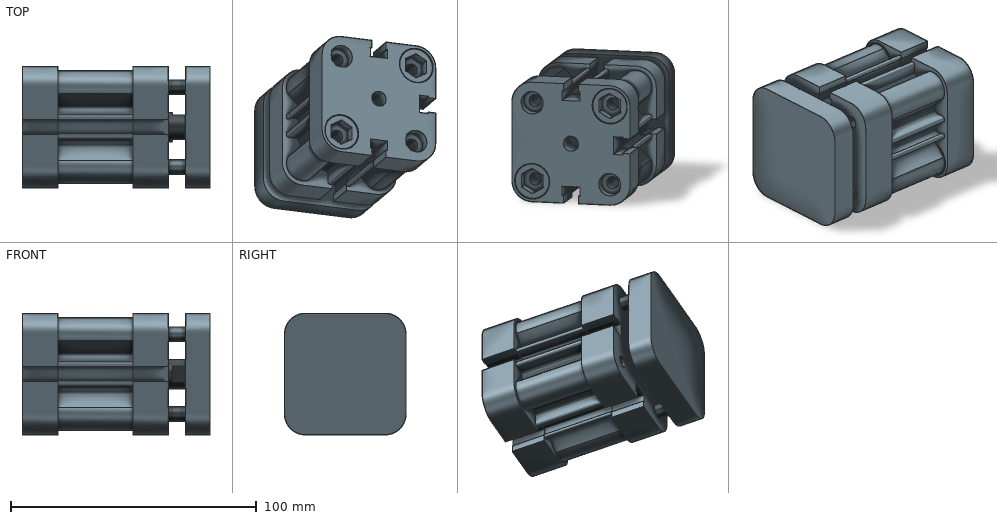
import cadquery as cq
import math


cap_length = 14.5
barrel_length = 30.5
plate_gap = 7.0
plate_thickness = 10.0
front_cap_x = cap_length + barrel_length
housing_length = front_cap_x + cap_length
plate_x = housing_length + plate_gap

square_side = 49.5
square_corner_radius = 8.5
half_side = square_side / 2
corner_offset = 16.25

barrel_half_height = 23.0
barrel_wall_radius = 18.6
corner_tube_radius = barrel_half_height - corner_offset
corner_web_width = 12.5
rail_width = 10.0
rail_edge_radius = 1.0
rail_root_radius = 1.2
web_root_radius = 1.0
lip_edge_radius = 0.5

lip_depth = 3.1
cap_slot_mouth = 6.2
cap_slot_width = 7.4
cap_slot_floor = 17.75
barrel_slot_mouth = 5.7
barrel_slot_width = 6.9
barrel_slot_floor = 18.0
barrel_slot_floor_radius = 0.5
slotted_cap_sides = (0, 90, 180)

screw_corners = [(1, 1), (-1, -1)]
guide_corners = [(-1, 1), (1, -1)]
screw_hole_diameter = 5.0
counterbore_diameter = 9.2
counterbore_depth = 5.0
center_hole_diameter = 6.2
center_hole_depth = 10.0

plug_bore_diameter = 14.7
plug_diameter = 14.2
plug_recess = 0.25
plug_bore_depth = cap_length
plug_length = plug_bore_depth - plug_recess
hex_across_flats = 9.0
hex_depth = 5.3

guide_rod_diameter = 6.0
rod_diameter = 12.0
rod_across_flats = 10.0
rod_collar_length = 1.6
rod_end_chamfer = 0.3
flat_edge_chamfer = 0.25


def section_at(x):
    """Workplane across the axis at X = x, with local axes Y and Z."""
    return cq.Workplane("YZ", origin=(x, 0, 0))


def corner_points(corners):
    return [(corner_offset * side_y, corner_offset * side_z) for side_y, side_z in corners]


def rounded_square(x, length):
    block = section_at(x).rect(square_side, square_side).extrude(length)
    return block.edges("|X").fillet(square_corner_radius)


def turned(body, angle):
    return body.rotate((0, 0, 0), (1, 0, 0), angle)


def t_slot(x, length, mouth, width, floor):
    """Cutter for a T-slot that opens toward +Z."""
    lip_z = half_side - lip_depth
    right_half = [(width / 2, floor), (width / 2, lip_z), (mouth / 2, lip_z), (mouth / 2, half_side)]
    left_half = [(-y, z) for y, z in reversed(right_half)]
    return section_at(x).polyline(right_half + left_half).close().extrude(length)


def make_cap(x):
    cap = rounded_square(x, cap_length)
    slot = t_slot(x, cap_length, cap_slot_mouth, cap_slot_width, cap_slot_floor)
    for angle in slotted_cap_sides:
        cap = cap.cut(turned(slot, angle))
    return cap


def corner_tube():
    """Round corner of the barrel, flattened on both sides to the width of the web that carries it."""
    diagonal = corner_offset * math.sqrt(2)
    web_length = diagonal + math.sqrt(corner_tube_radius**2 - (corner_web_width / 2) ** 2)
    web = section_at(cap_length).center(0, web_length / 2).rect(corner_web_width, web_length)
    tube = section_at(cap_length).center(0, diagonal).circle(corner_tube_radius).extrude(barrel_length)
    flats = section_at(cap_length).center(0, diagonal).rect(corner_web_width, 2 * corner_tube_radius)
    tube = tube.intersect(flats.extrude(barrel_length))
    return turned(tube.union(web.extrude(barrel_length)), 45)


def rail():
    """Raised bar on the barrel side that carries the T-slot."""
    bar = section_at(cap_length).center(0, barrel_half_height / 2).rect(rail_width, barrel_half_height)
    return bar.extrude(barrel_length).edges("|X and >Z").fillet(rail_edge_radius)


def lengthwise_edges_at(body, y, z):
    """Edges along X that pass through (y, z) or its image under mirroring or quarter turns."""
    places = sorted([y, z])
    return body.edges("|X").filter(
        lambda edge: math.dist(sorted([abs(edge.Center().y), abs(edge.Center().z)]), places) < 0.01
    )


def make_barrel():
    barrel = section_at(cap_length).circle(barrel_wall_radius).extrude(barrel_length)
    for angle in range(0, 360, 90):
        barrel = barrel.union(turned(corner_tube(), angle)).union(turned(rail(), angle))
    rail_side = rail_width / 2
    rail_root = math.sqrt(barrel_wall_radius**2 - rail_side**2)
    barrel = lengthwise_edges_at(barrel, rail_side, rail_root).fillet(rail_root_radius)
    web_root_angle = math.radians(45) - math.asin(corner_web_width / 2 / barrel_wall_radius)
    web_root = [barrel_wall_radius * math.sin(web_root_angle), barrel_wall_radius * math.cos(web_root_angle)]
    barrel = lengthwise_edges_at(barrel, *web_root).fillet(web_root_radius)
    slot = t_slot(cap_length, barrel_length, barrel_slot_mouth, barrel_slot_width, barrel_slot_floor)
    slot = slot.edges("|X and <Z").fillet(barrel_slot_floor_radius)
    for angle in range(0, 360, 90):
        barrel = barrel.cut(turned(slot, angle))
    return lengthwise_edges_at(barrel, barrel_slot_mouth / 2, barrel_half_height).fillet(lip_edge_radius)


def make_housing():
    body = make_barrel().union(make_cap(0)).union(make_cap(front_cap_x))
    screws = section_at(0).pushPoints(corner_points(screw_corners))
    body = body.cut(screws.circle(screw_hole_diameter / 2).extrude(housing_length))
    body = body.cut(screws.circle(counterbore_diameter / 2).extrude(counterbore_depth))
    body = body.cut(section_at(0).circle(center_hole_diameter / 2).extrude(center_hole_depth))
    guides = section_at(0).pushPoints(corner_points(guide_corners))
    body = body.cut(guides.circle(plug_bore_diameter / 2).extrude(plug_bore_depth))
    body = body.cut(guides.circle(guide_rod_diameter / 2).extrude(housing_length))
    return body.cut(section_at(front_cap_x).circle(rod_diameter / 2).extrude(cap_length))


def make_guide_plug(center):
    """Hollow plug with a hexagon socket whose corners point along Z."""
    face = section_at(plug_recess).center(*center)
    plug = face.circle(plug_diameter / 2).extrude(plug_length)
    hex_corner_diameter = hex_across_flats / math.cos(math.radians(30))
    socket = face.transformed(rotate=(0, 0, 90)).polygon(6, hex_corner_diameter).extrude(hex_depth)
    hole = face.circle(screw_hole_diameter / 2).extrude(plug_length)
    return plug.cut(socket).cut(hole)


def make_piston_rod():
    rod = section_at(front_cap_x).circle(rod_diameter / 2).extrude(plate_x - front_cap_x)
    rod = rod.faces(">X").chamfer(rod_end_chamfer)
    flat_start = housing_length + rod_collar_length
    flat_y = rod_across_flats / 2
    rod_radius = rod_diameter / 2
    flat_cut = (
        cq.Workplane("XY", origin=(0, 0, -rod_radius))
        .moveTo(plate_x, flat_y)
        .lineTo(flat_start, flat_y)
        .lineTo(flat_start, rod_radius - flat_edge_chamfer)
        .lineTo(flat_start - flat_edge_chamfer, rod_radius)
        .lineTo(plate_x, rod_radius)
        .close()
        .extrude(rod_diameter)
    )
    return rod.cut(flat_cut).cut(turned(flat_cut, 180))


def make_guided_plate():
    """Yoke plate with the two guide rods that run back through the housing to the plugs."""
    plate = rounded_square(plate_x, plate_thickness)
    guide_rods = section_at(plug_bore_depth).pushPoints(corner_points(guide_corners))
    return plate.union(guide_rods.circle(guide_rod_diameter / 2).extrude(plate_x - plug_bore_depth))


housing = make_housing()
guide_plugs = [make_guide_plug(center) for center in corner_points(guide_corners)]
piston_rod = make_piston_rod()
guided_plate = make_guided_plate()

result = cq.Compound.makeCompound(
    [housing.val(), *[plug.val() for plug in guide_plugs], piston_rod.val(), guided_plate.val()]
)